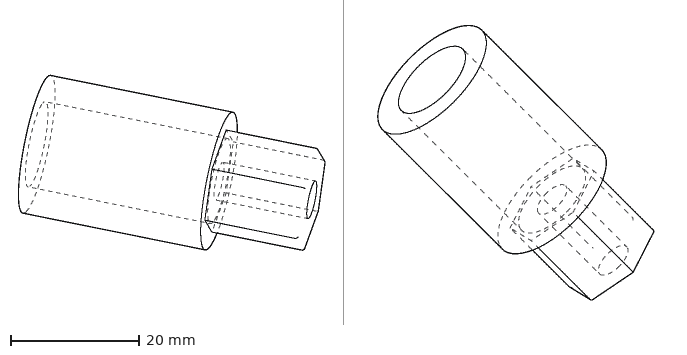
import cadquery as cq
import math

total_length = 44.5
sleeve_diameter = 22.0
sleeve_length = 29.5
sleeve_bore_diameter = 13.57

hex_across_flats = 14.75
hex_length = total_length - sleeve_length
hex_across_corners = hex_across_flats / math.cos(math.radians(30))
hex_hole_diameter = 6.0
hex_end_radius = 0.5


def make_sleeve():
    """Plain tube, bored right through, starting at X = 0."""
    return (
        cq.Workplane("YZ")
        .circle(sleeve_diameter / 2)
        .circle(sleeve_bore_diameter / 2)
        .extrude(sleeve_length)
    )


def make_hex_drive():
    """Hexagonal bar with corners on +Y and -Y, rounded outer end and a through hole."""
    bar = (
        cq.Workplane("YZ", origin=(sleeve_length, 0, 0))
        .polygon(6, hex_across_corners)
        .extrude(hex_length)
    )
    rounded_bar = bar.faces(">X").edges().fillet(hex_end_radius)
    return rounded_bar.faces(">X").workplane(centerOption="CenterOfMass").hole(hex_hole_diameter)


sleeve = make_sleeve()
hex_drive = make_hex_drive()

result = cq.Compound.makeCompound([sleeve.val(), hex_drive.val()])